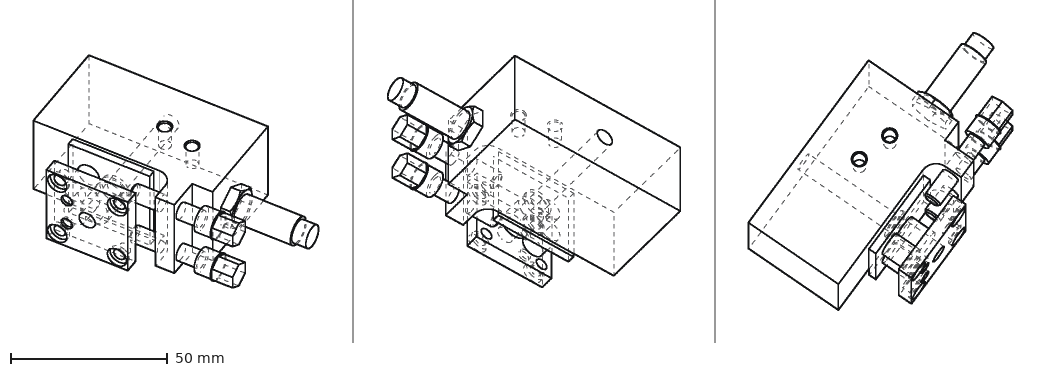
import cadquery as cq
import math


height = 30.0
block_length = 66.0
block_depth = 35.2
lug_start = 51.6
lug_thickness = 7.0
lug_reach = 11.3
lug_fillet = 5.2

port_centres = [(37.6, 18.6), (49.6, 15.3)]
port_diameter = 4.1
port_mouth_diameter = 5.0
port_depth = 8.0

screw_y = -7.2
screw_z = 9.0
screw_start = 41.1
screw_diameter = 6.0
screw_chamfer = 0.6
collar_diameter = 9.0
collar_end = 72.4
flange_diameter = 9.6
flange_thickness = 0.2
screw_hex_flats = 8.1
screw_hex_end = 80.0

absorber_y = 11.7
nut_flats = 13.0
nut_thickness = 4.0
nut_chamfer_angle = 30
absorber_diameter = 10.0
absorber_body_end = 90.8
absorber_tip_diameter = 8.2
absorber_end = 96.0

slide_x = 30.1
front_face_y = -17.8
front_plate_thickness = 5.0
front_plate_back = front_face_y + front_plate_thickness
back_plate_start = -1.2
back_plate_thickness = 2.7
hub_diameter = 10.0
bore_diameter = 6.0
pin_diameter = 8.0
pin_offset_x = 7.5
pin_x = slide_x - pin_offset_x
pin_offset_z = 5.0
dowel_hole_diameter = 4.0
dowel_hole_depth = 1.0
mount_pitch = 22.0
mount_hole_diameter = 4.1
mount_recess_diameter = 7.0
mount_recess_depth = 1.6


def rod_x(x_start, x_end, y, z, diameter):
    """Round bar along X."""
    return cq.Workplane("YZ", origin=(x_start, y, z)).circle(diameter / 2).extrude(x_end - x_start)


def hex_x(x_start, x_end, y, z, flats):
    """Hexagonal bar along X with flats facing -Y and +Y."""
    corners = flats / math.cos(math.pi / 6)
    plane = cq.Plane(origin=(x_start, y, z), xDir=(0, 0, 1), normal=(1, 0, 0))
    return cq.Workplane(plane).polygon(6, corners).extrude(x_end - x_start)


def rod_y(x, z, y_start, y_end, diameter):
    """Round bar along Y, from y_start down to y_end."""
    return cq.Workplane("XZ", origin=(x, y_start, z)).circle(diameter / 2).extrude(y_start - y_end)


def plate(y_start, thickness):
    """Square slide plate, as wide as the housing is high, whose +Y face lies at y_start."""
    return (
        cq.Workplane("XZ", origin=(slide_x, y_start, 0))
        .rect(height, height)
        .extrude(thickness)
    )


def make_block():
    """Block and lug, with a concave fillet where the lug meets the -Y face."""
    lug_end = lug_start + lug_thickness
    arc_shift = lug_fillet * math.sqrt(0.5)
    return (
        cq.Workplane("XY", origin=(0, 0, -height / 2))
        .moveTo(0, 0)
        .lineTo(lug_start - lug_fillet, 0)
        .threePointArc(
            (lug_start - lug_fillet + arc_shift, -lug_fillet + arc_shift),
            (lug_start, -lug_fillet),
        )
        .lineTo(lug_start, -lug_reach)
        .lineTo(lug_end, -lug_reach)
        .lineTo(lug_end, 0)
        .lineTo(block_length, 0)
        .lineTo(block_length, block_depth)
        .lineTo(0, block_depth)
        .close()
        .extrude(height)
    )


def make_port(x, y):
    """Cutter for a blind port with a chamfered mouth."""
    radius = port_diameter / 2
    mouth = (port_mouth_diameter - port_diameter) / 2
    top = cq.Workplane("XY", origin=(x, y, height / 2))
    drill = top.circle(radius).extrude(-port_depth)
    countersink = top.circle(radius + mouth).extrude(-mouth, taper=45)
    return drill.union(countersink)


def make_stop_screw(z):
    """Chamfered shank, collar, thin flange and hexagonal end."""
    shank = rod_x(screw_start, block_length, screw_y, z, screw_diameter)
    shank = shank.faces("<X").chamfer(screw_chamfer)
    collar = rod_x(block_length, collar_end, screw_y, z, collar_diameter)
    flange = rod_x(collar_end - flange_thickness, collar_end, screw_y, z, flange_diameter)
    head = hex_x(collar_end, screw_hex_end, screw_y, z, screw_hex_flats)
    return shank.union(collar).union(flange).union(head)


def make_absorber():
    """Lock nut with rounded-off corners, cylindrical body and narrower tip."""
    nut_end = block_length + nut_thickness
    nut_radius = nut_flats / 2
    cone_radius = nut_radius + nut_thickness / math.tan(math.radians(nut_chamfer_angle))
    cone = (
        cq.Workplane("XY", origin=(0, absorber_y, 0))
        .moveTo(block_length, 0)
        .lineTo(block_length, cone_radius)
        .lineTo(nut_end, nut_radius)
        .lineTo(nut_end, 0)
        .close()
        .revolve(360, (0, 0, 0), (1, 0, 0))
    )
    nut = hex_x(block_length, nut_end, absorber_y, 0, nut_flats).intersect(cone)
    body = rod_x(block_length, absorber_body_end, absorber_y, 0, absorber_diameter)
    tip = rod_x(absorber_body_end, absorber_end, absorber_y, 0, absorber_tip_diameter)
    return nut.union(body).union(tip)


def make_housing():
    """Block with ports and bore, carrying the stop screws and the shock absorber."""
    housing = make_block()
    for x, y in port_centres:
        housing = housing.cut(make_port(x, y))
    housing = housing.cut(rod_y(slide_x, 0, block_depth, 0, bore_diameter))
    for side in (-1, 1):
        housing = housing.union(make_stop_screw(side * screw_z))
    return housing.union(make_absorber())


def cut_dowel_holes(slide):
    """Shallow blind holes in the front plate, in line with the pins."""
    floor_y = front_face_y + dowel_hole_depth
    for side in (-1, 1):
        hole = rod_y(pin_x, side * pin_offset_z, floor_y, front_face_y, dowel_hole_diameter)
        slide = slide.cut(hole)
    return slide


def cut_mount_holes(slide):
    """Counterbored through holes at the corners of the front plate."""
    floor_y = front_face_y + mount_recess_depth
    for side_x in (-1, 1):
        for side_z in (-1, 1):
            x = slide_x + side_x * mount_pitch / 2
            z = side_z * mount_pitch / 2
            slide = slide.cut(rod_y(x, z, front_plate_back, front_face_y, mount_hole_diameter))
            slide = slide.cut(rod_y(x, z, floor_y, front_face_y, mount_recess_diameter))
    return slide


def make_slide():
    """Two plates joined by a bored hub, which rests on the housing, and by two pins."""
    slide = plate(front_plate_back, front_plate_thickness)
    slide = slide.union(plate(back_plate_start, back_plate_thickness))
    slide = slide.union(rod_y(slide_x, 0, 0, front_plate_back, hub_diameter))
    for side in (-1, 1):
        pin = rod_y(pin_x, side * pin_offset_z, back_plate_start, front_plate_back, pin_diameter)
        slide = slide.union(pin)
    slide = slide.cut(rod_y(slide_x, 0, 0, front_face_y, bore_diameter))
    slide = cut_dowel_holes(slide)
    return cut_mount_holes(slide)


housing = make_housing()
slide = make_slide()
result = cq.Compound.makeCompound([housing.val(), slide.val()])